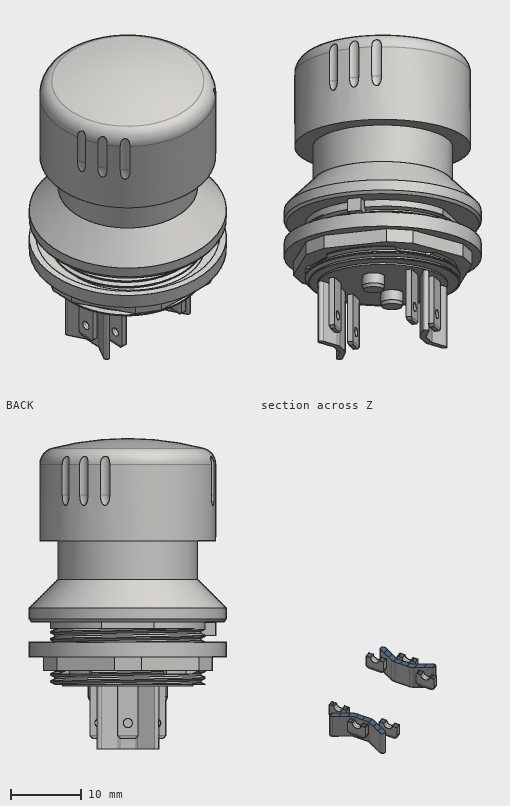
import cadquery as cq
import math

TOTAL_HEIGHT = 44.1
CAP_BOTTOM = 29.55
NECK_BOTTOM = 24.1
BEZEL_BOTTOM = 18.05
THREAD_TOP = 17.1
NUT_FLANGE_TOP = 15.2
NUT_FLANGE_BOTTOM = 13.1
NUT_BOTTOM = 11.15
THREAD_BOTTOM = 9.2
BODY_BOTTOM = 8.95

CAP_RADIUS = 12.5
DOME_EDGE_RADIUS = 10.8
DOME_RISE = 1.4
RIM_BOTTOM = 40.4

GROOVE_RADIUS = 1.0
GROOVE_DEPTH = 0.3
GROOVE_RUNOUT_TOP = 36.1
GROOVE_RUNOUT_LENGTH = 1.5
GROOVE_RUNOUT_TURN = 45
GROOVE_SPACING = 15
GROOVES_PER_GROUP = 3
GROOVE_GROUP_ANGLES = (60, 180, 300)

NECK_RADIUS = 9.925
BEZEL_RADIUS = 14.0
BEZEL_CHAMFER_WIDTH = 0.3
BEZEL_CHAMFER_HEIGHT = 0.45

THREAD_RADIUS = 11.0
THREAD_ROOT_RADIUS = 10.4
THREAD_PITCH = 1.0
THREAD_CREST_WIDTH = 0.125
THREAD_ROOT_WIDTH = 0.25
THREAD_START = 8.1
THREAD_CUT_OVERSHOOT = 0.05
BAR_SEAM_ANGLE = 73
COLLAR_FLAT_DISTANCE = 10.35
BODY_LIP_RADIUS = 9.25

KEY_REACH = 12.5
KEY_WIDTH = 2.0
KEY_BOTTOM = 16.1
KEY_TOP = 18.0

WINDOW_FLOOR_RADIUS = 9.925
WINDOW_BOTTOM = 10.7
WINDOW_FLOOR_HALF_ANGLE = 11.5
WINDOW_MOUTH_HALF_ANGLE = 17.5
WINDOW_CLEARANCE = 1.0
WINDOW_ANGLES = (45, 135, 225, 315)

NUT_FLANGE_RADIUS = 14.0
NUT_RECESS_RADIUS = 13.0
NUT_RECESS_DEPTH = 1.5
HEXAGON_WIDTH = 24.0
HEXAGON_CORNER_WIDTH = 25.5

TERMINAL_WIDTH = 2.8
CENTRE_TERMINAL_WIDTH = 2.9
TERMINAL_THICKNESS = 0.85
TERMINAL_BOTTOM = 1.5
TERMINAL_CHAMFER = 0.4
TERMINAL_FACE_CHAMFER = 0.1
TERMINAL_HOLE_DIAMETER = 1.3
TERMINAL_HOLE_HEIGHT = 3.7
SIDE_TERMINAL_X = 4.0
SIDE_TERMINAL_Y = 5.77
CENTRE_TERMINAL_Y = 7.75
PIN_RADIUS = 1.6
PIN_TIP_RADIUS = 1.4
PIN_X = 4.05
PIN_BOTTOM = 6.95
PIN_TIP_HEIGHT = 0.5

SEPARATOR_THICKNESS = 0.86
SEPARATOR_WEB_Y = 6.05
SEPARATOR_END_X = 3.97
SEPARATOR_END_Y = 7.86
SEPARATOR_WING_ANGLE = 28
SEPARATOR_INNER_BEND = 0.5


def cylinder(radius, bottom, top):
    return cq.Workplane("XY").workplane(offset=bottom).circle(radius).extrude(top - bottom)


def polar(radius, angle):
    return (radius * math.cos(math.radians(angle)), radius * math.sin(math.radians(angle)))


def make_cap():
    dome_edge = TOTAL_HEIGHT - DOME_RISE
    dome_radius = (DOME_EDGE_RADIUS**2 + DOME_RISE**2) / (2 * DOME_RISE)
    half_edge = math.asin(DOME_EDGE_RADIUS / dome_radius) / 2
    dome_middle = (
        dome_radius * math.sin(half_edge),
        TOTAL_HEIGHT - dome_radius * (1 - math.cos(half_edge)),
    )
    return (
        cq.Workplane("XZ")
        .moveTo(0, CAP_BOTTOM)
        .lineTo(CAP_RADIUS, CAP_BOTTOM)
        .lineTo(CAP_RADIUS, RIM_BOTTOM)
        .tangentArcPoint((DOME_EDGE_RADIUS, dome_edge), relative=False)
        .threePointArc(dome_middle, (0, TOTAL_HEIGHT))
        .close()
        .revolve(360, (0, 0, 0), (0, 1, 0))
    )


def make_grip_groove():
    """Groove tool at angle zero: a vertical round bar whose lower end curves out of the cap."""
    axis_radius = CAP_RADIUS - GROOVE_DEPTH + GROOVE_RADIUS
    runout_radius = (GROOVE_RUNOUT_LENGTH**2 + GROOVE_DEPTH**2) / (2 * GROOVE_DEPTH)
    bar = cylinder(GROOVE_RADIUS, GROOVE_RUNOUT_TOP, TOTAL_HEIGHT).translate((axis_radius, 0, 0))
    turn_offset = runout_radius - GROOVE_RADIUS
    runout = (
        cq.Workplane("XY")
        .workplane(offset=GROOVE_RUNOUT_TOP)
        .center(axis_radius, 0)
        .circle(GROOVE_RADIUS)
        .revolve(GROOVE_RUNOUT_TURN, (turn_offset, 0, 0), (turn_offset, -1, 0))
    )
    return bar.union(runout)


def cut_grip_grooves(cap):
    groove = make_grip_groove()
    for group_angle in GROOVE_GROUP_ANGLES:
        for index in range(GROOVES_PER_GROUP):
            offset = (index - (GROOVES_PER_GROUP - 1) / 2) * GROOVE_SPACING
            cap = cap.cut(groove.rotate((0, 0, 0), (0, 0, 1), group_angle + offset))
    return cap


def make_neck_and_bezel():
    cone_bottom = NECK_BOTTOM - (BEZEL_RADIUS - NECK_RADIUS)
    return (
        cq.Workplane("XZ")
        .moveTo(0, BEZEL_BOTTOM)
        .lineTo(BEZEL_RADIUS - BEZEL_CHAMFER_WIDTH, BEZEL_BOTTOM)
        .lineTo(BEZEL_RADIUS, BEZEL_BOTTOM + BEZEL_CHAMFER_HEIGHT)
        .lineTo(BEZEL_RADIUS, cone_bottom)
        .lineTo(NECK_RADIUS, NECK_BOTTOM)
        .lineTo(NECK_RADIUS, CAP_BOTTOM)
        .lineTo(0, CAP_BOTTOM)
        .close()
        .revolve(360, (0, 0, 0), (0, 1, 0))
    )


def make_collar():
    """Plain collar above the thread, with flats on both Y sides."""
    flats = cq.Workplane("XY").box(
        2 * THREAD_RADIUS, 2 * COLLAR_FLAT_DISTANCE, 2 * BEZEL_BOTTOM
    )
    return cylinder(THREAD_RADIUS, THREAD_TOP, BEZEL_BOTTOM).intersect(flats)


def make_key():
    return (
        cq.Workplane("XY")
        .workplane(offset=KEY_BOTTOM)
        .center(-KEY_REACH / 2, 0)
        .rect(KEY_REACH, KEY_WIDTH)
        .extrude(KEY_TOP - KEY_BOTTOM)
    )


def make_threaded_body():
    """Right-handed thread: a helical groove inside a longer bar, which is trimmed to length."""
    helix_height = math.ceil(THREAD_TOP - THREAD_START) + THREAD_PITCH
    helix = cq.Wire.makeHelix(
        THREAD_PITCH, helix_height, THREAD_RADIUS, cq.Vector(0, 0, THREAD_START)
    )
    groove_outer_radius = THREAD_RADIUS + THREAD_CUT_OVERSHOOT
    crest_half_gap = (THREAD_PITCH - THREAD_CREST_WIDTH) / 2
    root_half_gap = THREAD_ROOT_WIDTH / 2
    groove = (
        cq.Workplane("XZ")
        .moveTo(THREAD_ROOT_RADIUS, THREAD_START - root_half_gap)
        .lineTo(groove_outer_radius, THREAD_START - crest_half_gap)
        .lineTo(groove_outer_radius, THREAD_START + crest_half_gap)
        .lineTo(THREAD_ROOT_RADIUS, THREAD_START + root_half_gap)
        .close()
        .sweep(cq.Workplane(obj=helix), isFrenet=True)
    )
    bar = cylinder(
        THREAD_RADIUS, THREAD_START - THREAD_PITCH, THREAD_START + helix_height + THREAD_PITCH
    )
    threaded_bar = bar.rotate((0, 0, 0), (0, 0, 1), BAR_SEAM_ANGLE).cut(groove)
    return threaded_bar.intersect(cylinder(BEZEL_RADIUS, THREAD_BOTTOM, THREAD_TOP))


def make_latch_window():
    """Window tool at angle zero: a flared pocket with a round floor, closed above by the nut."""
    beyond_thread = THREAD_RADIUS + WINDOW_CLEARANCE
    return (
        cq.Workplane("XY")
        .workplane(offset=WINDOW_BOTTOM)
        .moveTo(*polar(WINDOW_FLOOR_RADIUS, -WINDOW_FLOOR_HALF_ANGLE))
        .lineTo(*polar(THREAD_RADIUS, -WINDOW_MOUTH_HALF_ANGLE))
        .threePointArc((beyond_thread, 0), polar(THREAD_RADIUS, WINDOW_MOUTH_HALF_ANGLE))
        .lineTo(*polar(WINDOW_FLOOR_RADIUS, WINDOW_FLOOR_HALF_ANGLE))
        .threePointArc(
            (WINDOW_FLOOR_RADIUS, 0), polar(WINDOW_FLOOR_RADIUS, -WINDOW_FLOOR_HALF_ANGLE)
        )
        .close()
        .extrude(NUT_BOTTOM - WINDOW_BOTTOM)
    )


def cut_latch_windows(body):
    window = make_latch_window()
    for angle in WINDOW_ANGLES:
        body = body.cut(window.rotate((0, 0, 0), (0, 0, 1), angle))
    return body


def hexagon_prism(width_across_flats, turn):
    return (
        cq.Workplane("XY")
        .workplane(offset=NUT_BOTTOM)
        .polygon(6, width_across_flats, circumscribed=True)
        .extrude(NUT_FLANGE_BOTTOM - NUT_BOTTOM)
        .rotate((0, 0, 0), (0, 0, 1), turn)
    )


def make_nut():
    """Ring nut with a round recess in its upper face."""
    flange = cylinder(NUT_FLANGE_RADIUS, NUT_FLANGE_BOTTOM, NUT_FLANGE_TOP)
    recess = cylinder(NUT_RECESS_RADIUS, NUT_FLANGE_TOP - NUT_RECESS_DEPTH, NUT_FLANGE_TOP)
    hexagon = hexagon_prism(HEXAGON_WIDTH, 0).intersect(hexagon_prism(HEXAGON_CORNER_WIDTH, 30))
    return flange.union(hexagon).cut(recess)


def make_pin():
    return (
        cylinder(PIN_RADIUS, PIN_BOTTOM, BODY_BOTTOM)
        .faces("<Z")
        .chamfer(PIN_TIP_HEIGHT, PIN_RADIUS - PIN_TIP_RADIUS)
    )


def make_terminal(width, x, y):
    """Flat blade terminal with a bevelled lower end and a cross hole along Y."""
    tip_top = TERMINAL_BOTTOM + TERMINAL_CHAMFER
    blade = (
        cq.Workplane("XY")
        .workplane(offset=tip_top)
        .rect(width, TERMINAL_THICKNESS)
        .extrude(BODY_BOTTOM - tip_top)
    )
    tip = (
        cq.Workplane("XY")
        .workplane(offset=tip_top)
        .rect(width, TERMINAL_THICKNESS)
        .workplane(offset=-TERMINAL_CHAMFER)
        .rect(width - 2 * TERMINAL_CHAMFER, TERMINAL_THICKNESS - 2 * TERMINAL_FACE_CHAMFER)
        .loft(ruled=True)
    )
    hole = (
        cq.Workplane("XZ")
        .center(0, TERMINAL_HOLE_HEIGHT)
        .circle(TERMINAL_HOLE_DIAMETER / 2)
        .extrude(TERMINAL_THICKNESS, both=True)
    )
    return blade.union(tip).cut(hole).translate((x, y, 0))


def make_separator():
    """Separator on the -Y side: a flat web with a wing at each end, bent towards -Y."""
    half = SEPARATOR_THICKNESS / 2
    wing = math.radians(SEPARATOR_WING_ANGLE)
    drop = SEPARATOR_END_Y - half - SEPARATOR_WEB_Y
    bend_x = SEPARATOR_END_X - drop / math.tan(wing)
    tangent = (SEPARATOR_INNER_BEND + half) * math.tan(wing / 2)
    web_y = -(SEPARATOR_WEB_Y + half)
    bend_start = (bend_x - tangent, web_y)
    bend_end = (bend_x + tangent * math.cos(wing), web_y - tangent * math.sin(wing))
    wing_end = (SEPARATOR_END_X, -SEPARATOR_END_Y)
    path = (
        cq.Workplane("XY")
        .moveTo(-wing_end[0], wing_end[1])
        .lineTo(-bend_end[0], bend_end[1])
        .tangentArcPoint((-bend_start[0], web_y), relative=False)
        .lineTo(*bend_start)
        .tangentArcPoint(bend_end, relative=False)
        .lineTo(*wing_end)
    )
    return path.offset2D(half, "arc").extrude(BODY_BOTTOM)


def make_terminal_group():
    """Separator and its three terminals on the -Y side."""
    return (
        make_separator()
        .union(make_terminal(CENTRE_TERMINAL_WIDTH, 0, -CENTRE_TERMINAL_Y))
        .union(make_terminal(TERMINAL_WIDTH, SIDE_TERMINAL_X, -SIDE_TERMINAL_Y))
        .union(make_terminal(TERMINAL_WIDTH, -SIDE_TERMINAL_X, -SIDE_TERMINAL_Y))
    )


upper_part = cut_grip_grooves(make_cap()).union(make_neck_and_bezel())
body = (
    cut_latch_windows(make_threaded_body())
    .union(make_collar())
    .union(make_key())
    .union(cylinder(BODY_LIP_RADIUS, BODY_BOTTOM, THREAD_BOTTOM))
)
result = upper_part.union(body).union(make_nut())

pin = make_pin()
terminal_group = make_terminal_group()
for side in (-1, 1):
    result = result.union(pin.translate((side * PIN_X, 0, 0)))
result = result.union(terminal_group).union(terminal_group.mirror("XZ"))